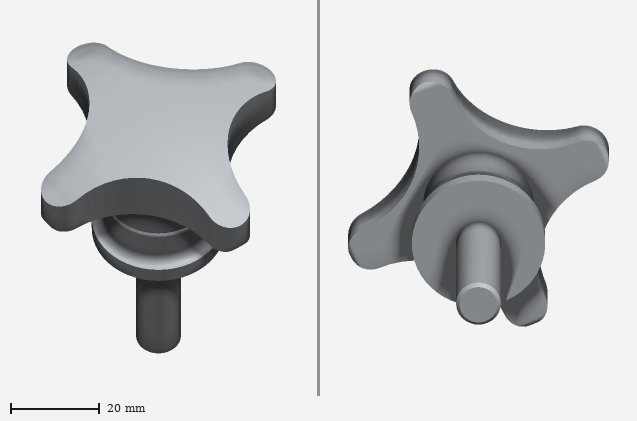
import cadquery as cq
import math

total_height = 80.0
head_radius = 31.5

stud_radius = 5.0
stud_length = 40.0
stud_chamfer = 0.8
flange_radius = 15.0
flange_thickness = 4.0
neck_radius = 12.5
cove_radius = 2.4
groove_center_z = 53.5
groove_lip_radius = 0.9

head_bottom_z = 65.0
head_rim_z = 73.6
rim_fillet = 1.4
arm_half_width = 5.0
arm_count = 4


def turned_shank():
    """Stud, flange, cove and grooved neck revolved about Z."""
    flange_top_z = stud_length + flange_thickness
    cove_drop = cove_radius * (1 - math.sqrt(0.5))
    cove_middle = (neck_radius + cove_drop, flange_top_z + cove_drop)
    groove_bottom_z = groove_center_z - groove_lip_radius
    groove_top_z = groove_center_z + groove_lip_radius
    groove_root = (neck_radius - groove_lip_radius, groove_center_z)
    lip_middle_rise = groove_lip_radius * (1 - math.sqrt(0.5))
    lip_middle_x = groove_root[0] + groove_lip_radius * math.sqrt(0.5)
    profile = (
        cq.Workplane("XZ")
        .lineTo(stud_radius - stud_chamfer, 0)
        .lineTo(stud_radius, stud_chamfer)
        .lineTo(stud_radius, stud_length)
        .lineTo(flange_radius, stud_length)
        .lineTo(flange_radius, flange_top_z)
        .threePointArc(cove_middle, (neck_radius, flange_top_z + cove_radius))
        .lineTo(neck_radius, groove_bottom_z)
        .threePointArc((lip_middle_x, groove_center_z - lip_middle_rise), groove_root)
        .threePointArc((lip_middle_x, groove_center_z + lip_middle_rise), (neck_radius, groove_top_z))
        .lineTo(neck_radius, head_bottom_z)
        .lineTo(0, head_bottom_z)
        .close()
    )
    return profile.revolve(360, (0, 0, 0), (0, 1, 0))


def domed_disc():
    """Disc with a spherical top and a rounded lower rim."""
    dome_rise = total_height - head_rim_z
    dome_radius = (head_radius**2 + dome_rise**2) / (2 * dome_rise)
    middle_x = head_radius / 2
    middle_z = total_height - dome_radius + math.sqrt(dome_radius**2 - middle_x**2)
    profile = (
        cq.Workplane("XZ")
        .moveTo(0, head_bottom_z)
        .lineTo(head_radius, head_bottom_z)
        .lineTo(head_radius, head_rim_z)
        .threePointArc((middle_x, middle_z), (0, total_height))
        .close()
    )
    disc = profile.revolve(360, (0, 0, 0), (0, 1, 0))
    return disc.faces("<Z").edges().fillet(rim_fillet)


def arm_prism():
    """Cross outline: round arm tips joined by tangent concave arcs."""
    tip_center = head_radius - arm_half_width
    valley = tip_center - (tip_center - arm_half_width) * math.sqrt(0.5)

    def turned(x, y, quarter):
        angle = quarter * 2 * math.pi / arm_count
        return (
            x * math.cos(angle) - y * math.sin(angle),
            x * math.sin(angle) + y * math.cos(angle),
        )

    outline = cq.Workplane("XY", origin=(0, 0, head_bottom_z)).moveTo(tip_center, -arm_half_width)
    for arm in range(arm_count):
        outline = outline.threePointArc(
            turned(head_radius, 0, arm), turned(tip_center, arm_half_width, arm)
        ).threePointArc(turned(valley, valley, arm), turned(tip_center, -arm_half_width, arm + 1))
    return outline.close().extrude(total_height - head_bottom_z)


head = arm_prism().intersect(domed_disc())
result = turned_shank().union(head)